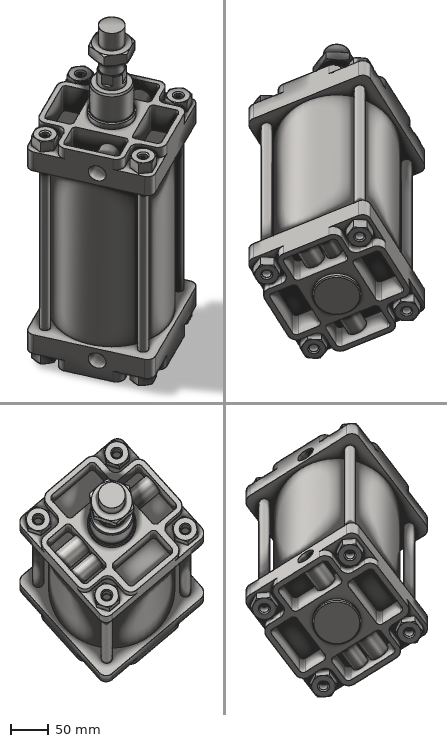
import cadquery as cq
import math

total_height = 538.0
tail_boss_height = 6.5
cap_height = 50.0
bottom_cap_inner_z = tail_boss_height + cap_height
tube_length = 279.0
top_cap_inner_z = bottom_cap_inner_z + tube_length
top_cap_outer_z = top_cap_inner_z + cap_height

cap_size = 182.0
cap_corner_radius = 12.0
nut_seat_depth = 18.0
cap_plate_height = cap_height - nut_seat_depth
arm_width = 94.5
arm_corner_radius = 13.0
arm_inner_radius = 12.0

pocket_wall = 7.5
pocket_width = 41.5
side_pocket_length = 77.5
port_pocket_length = 80.0
pocket_depth = 43.0
pocket_corner_radius = 6.0
pocket_offset = cap_size / 2 - pocket_wall - pocket_width / 2

port_x = 12.0
port_depth_below_face = 30.0
port_diameter = 25.5
port_hole_depth = 54.0
port_boss_diameter = 29.0
needle_boss_diameter = 23.5
needle_boss_x = -18.5
port_z = cap_height - port_depth_below_face

tube_diameter = 170.0
tie_rod_diameter = 15.0
tie_rod_offset = 70.0
tie_rod_places = [(sx * tie_rod_offset, sy * tie_rod_offset) for sx in (-1, 1) for sy in (-1, 1)]
tie_nut_corners = 36.5
tie_nut_height = nut_seat_depth
tie_nut_bore = 12.5
tie_nut_bore_chamfer_diameter = 16.0
nut_chamfer_angle = math.radians(20)

flange_diameter = 65.0
flange_height = 10.0
flange_chamfer = 1.5
sleeve_diameter = 59.0
sleeve_top_z = 442.0
sleeve_chamfer_height = 3.0
sleeve_chamfer_width = 1.5

rod_diameter = 40.0
thread_diameter = 36.0
shoulder_z = 466.0
shoulder_chamfer = 1.0
flat_bottom_z = 450.0
flat_width = 36.0

rod_nut_across_flats = 55.0
rod_nut_height = 18.0
rod_nut_bottom_z = 490.5


def cylinder(diameter, height, base_z, x=0.0, y=0.0):
    """Upright cylinder standing on the level base_z."""
    return cq.Workplane("XY", origin=(x, y, base_z)).circle(diameter / 2).extrude(height)


def chamfered_hexagon(corner_diameter, height, bottom_too):
    """Hexagonal prism, corners on +Y and -Y, with its corners turned down by a cone."""
    prism = cq.Workplane("XY").polygon(6, corner_diameter).extrude(height)
    prism = prism.rotate((0, 0, 0), (0, 0, 1), 90)
    flat_radius = corner_diameter / 2 * math.cos(math.pi / 6)
    base_radius = flat_radius + height / math.tan(nut_chamfer_angle)
    cone = cq.Workplane(cq.Solid.makeCone(base_radius, flat_radius, height))
    nut = prism.intersect(cone)
    if bottom_too:
        nut = nut.intersect(cone.mirror("XY").translate((0, 0, height)))
    return nut


def cap_block():
    """Square plate carrying a cross-shaped block, leaving a nut seat at each corner."""
    plate = cq.Workplane("XY").rect(cap_size, cap_size).extrude(cap_plate_height)
    plate = plate.edges("|Z").fillet(cap_corner_radius)
    bar = cq.Workplane("XY").rect(cap_size, arm_width).extrude(cap_height)
    bar = bar.edges("|Z").fillet(arm_corner_radius)
    cross = bar.union(bar.rotate((0, 0, 0), (0, 0, 1), 90))
    reach = arm_width / 2 + arm_corner_radius / 10
    inner_corners = cq.selectors.BoxSelector((-reach, -reach, 0), (reach, reach, cap_height))
    cross = cross.edges("|Z").edges(inner_corners).fillet(arm_inner_radius)
    return plate.union(cross)


def pocket(x, y, size_x, size_y):
    """Rounded rectangular pocket volume open at the outer face of the cap."""
    base = cq.Workplane("XY", origin=(x, y, cap_height - pocket_depth))
    return base.rect(size_x, size_y).extrude(pocket_depth).edges("|Z").fillet(pocket_corner_radius)


def cross_boss(x, diameter):
    """Round bar parallel to Y at port level, as long as the cap."""
    base = cq.Workplane("XZ", origin=(x, 0, port_z))
    return base.circle(diameter / 2).extrude(cap_size / 2, both=True)


def tie_rod_nut():
    """Hexagonal nut with a countersunk bore, standing on Z = 0."""
    nut = chamfered_hexagon(tie_nut_corners, tie_nut_height, False)
    bore = cylinder(tie_nut_bore, tie_nut_height, 0)
    chamfer = (tie_nut_bore_chamfer_diameter - tie_nut_bore) / 2
    countersink = cq.Solid.makeCone(tie_nut_bore / 2, tie_nut_bore / 2 + chamfer, chamfer)
    countersink = countersink.translate(cq.Vector(0, 0, tie_nut_height - chamfer))
    return nut.cut(bore).cut(countersink)


def end_cap():
    """Cap with its inner face on Z = 0 and its outer face, pockets and nuts above."""
    cap = cap_block()
    port_boss = cross_boss(port_x, port_boss_diameter)
    needle_boss = cross_boss(needle_boss_x, needle_boss_diameter)
    front_pocket = pocket(0, -pocket_offset, port_pocket_length, pocket_width)
    back_pocket = pocket(0, pocket_offset, port_pocket_length, pocket_width)
    cap = cap.cut(front_pocket.cut(port_boss))
    cap = cap.cut(back_pocket.cut(port_boss).cut(needle_boss))
    for side in (-1, 1):
        cap = cap.cut(pocket(side * pocket_offset, 0, pocket_width, side_pocket_length))

    port = cq.Workplane("XZ", origin=(port_x, -cap_size / 2, port_z))
    cap = cap.cut(port.circle(port_diameter / 2).extrude(-port_hole_depth))

    nut = tie_rod_nut()
    for x, y in tie_rod_places:
        cap = cap.union(nut.translate((x, y, cap_plate_height)))
    return cap


def cylinder_housing():
    """Both end caps joined by the tube and tie rods, with bushing and tail boss."""
    cap = end_cap()
    body = cylinder(tube_diameter, tube_length, bottom_cap_inner_z)
    body = body.union(cap.translate((0, 0, top_cap_inner_z)))
    body = body.union(cap.mirror("XY").translate((0, 0, bottom_cap_inner_z)))
    for x, y in tie_rod_places:
        body = body.union(cylinder(tie_rod_diameter, tube_length, bottom_cap_inner_z, x, y))

    tail_boss = cylinder(flange_diameter, tail_boss_height, 0)
    body = body.union(tail_boss.faces("<Z").chamfer(flange_chamfer))

    flange = cylinder(flange_diameter, flange_height, top_cap_outer_z)
    sleeve = cylinder(sleeve_diameter, sleeve_top_z - top_cap_outer_z, top_cap_outer_z)
    body = body.union(flange.faces(">Z").chamfer(flange_chamfer))
    body = body.union(sleeve.faces(">Z").chamfer(sleeve_chamfer_height, sleeve_chamfer_width))
    return body.cut(cylinder(rod_diameter, sleeve_top_z - top_cap_outer_z, top_cap_outer_z))


def piston_rod():
    """Rod seated in the bushing, with four wrench flats below a thinner threaded end.

    Each flat runs out downwards in a 45 degree ramp.
    """
    rod = cylinder(rod_diameter, shoulder_z - top_cap_outer_z, top_cap_outer_z)
    rod = rod.faces(">Z").chamfer(shoulder_chamfer)
    flat_radius = flat_width / 2
    ramp = rod_diameter - flat_width
    flat_cut = (
        cq.Workplane("XZ")
        .moveTo(flat_radius, shoulder_z)
        .lineTo(flat_radius, flat_bottom_z)
        .lineTo(flat_radius + ramp, flat_bottom_z - ramp)
        .lineTo(flat_radius + ramp, shoulder_z)
        .close()
        .extrude(rod_diameter / 2, both=True)
    )
    for quarter in range(4):
        rod = rod.cut(flat_cut.rotate((0, 0, 0), (0, 0, 1), 90 * quarter))
    return rod.union(cylinder(thread_diameter, total_height - shoulder_z, shoulder_z))


def rod_nut():
    """Hexagonal lock nut around the threaded rod end."""
    corners = rod_nut_across_flats / math.cos(math.pi / 6)
    nut = chamfered_hexagon(corners, rod_nut_height, True)
    nut = nut.cut(cylinder(thread_diameter, rod_nut_height, 0))
    return nut.translate((0, 0, rod_nut_bottom_z))


housing = cylinder_housing()
rod = piston_rod()
lock_nut = rod_nut()

result = cq.Compound.makeCompound([housing.val(), rod.val(), lock_nut.val()])